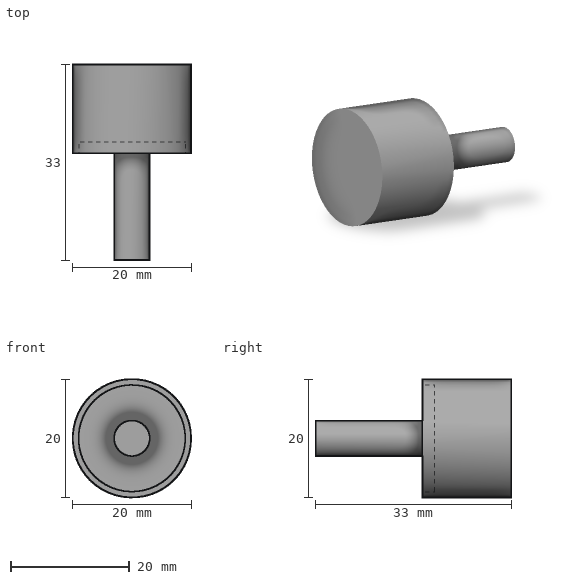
import cadquery as cq

RUBBER_DIAMETER = 20.0
RUBBER_LENGTH = 15.0
RUBBER_RIM = 1.0
PLATE_DIAMETER = RUBBER_DIAMETER - 2 * RUBBER_RIM
PLATE_THICKNESS = 2.0
STUD_DIAMETER = 6.0
STUD_LENGTH = 18.0


def cylinder_along_y(diameter, y_start, length):
    """Solid cylinder on the Y axis, running from y_start toward +Y."""
    return (
        cq.Workplane("XZ")
        .workplane(offset=-y_start)
        .circle(diameter / 2)
        .extrude(-length)
    )


def make_plate():
    """Metal disc set flush into the mounting face."""
    return cylinder_along_y(PLATE_DIAMETER, 0, PLATE_THICKNESS)


def make_rubber():
    """Rubber cylinder with a recess that fits the plate."""
    block = cylinder_along_y(RUBBER_DIAMETER, 0, RUBBER_LENGTH)
    return block.cut(make_plate()).solids()


def make_stud():
    """Plain stud standing on the outer face of the plate."""
    return cylinder_along_y(STUD_DIAMETER, -STUD_LENGTH, STUD_LENGTH)


rubber = make_rubber()
plate = make_plate()
stud = make_stud()

result = cq.Compound.makeCompound([rubber.val(), plate.val(), stud.val()])